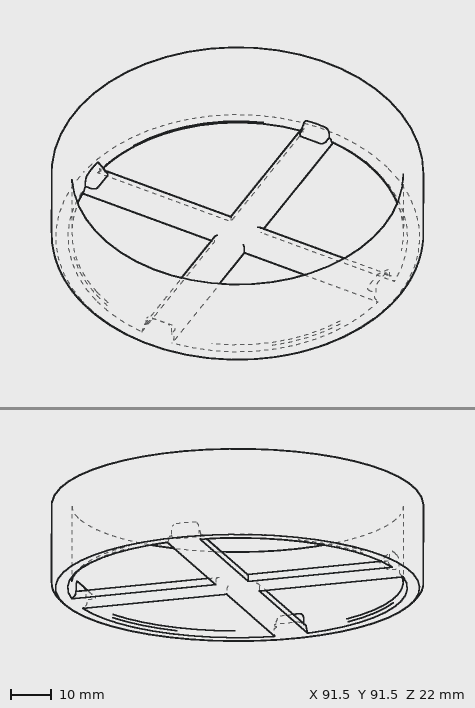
import cadquery as cq

outer_diameter = 91.5
inner_diameter = 81.5
ring_height = 22.0
top_fillet = 1.0
bottom_chamfer = 1.0
chamfer_blend = 1.0

bar_width = 8.5
bar_thickness = 2.0
bar_fillet = 0.7

wedge_count = 4
wedge_width = bar_width - 2 * bar_fillet
wedge_length = 3.0
wedge_height = 3.0
wedge_fillet = 1.0

outer_radius = outer_diameter / 2
inner_radius = inner_diameter / 2
wall_middle_radius = (inner_radius + outer_radius) / 2


def make_ring():
    """Tube with rounded top rims and chamfered bottom rims, blended into the wall."""
    ring = cq.Workplane("XY").circle(outer_radius).circle(inner_radius).extrude(ring_height)
    ring = ring.faces(">Z").edges().fillet(top_fillet)
    ring = ring.faces("<Z").edges().chamfer(bottom_chamfer)
    around_chamfer_tops = cq.selectors.BoxSelector(
        (-outer_diameter, -outer_diameter, bottom_chamfer / 2),
        (outer_diameter, outer_diameter, bottom_chamfer * 2),
    )
    chamfer_top_circles = ring.edges("%CIRCLE").edges(around_chamfer_tops)
    return chamfer_top_circles.fillet(chamfer_blend)


def make_cross():
    """Two crossed bars with rounded upper edges."""
    bar_length = 2 * wall_middle_radius
    along_x = cq.Workplane("XY").rect(bar_length, bar_width).extrude(bar_thickness)
    along_y = cq.Workplane("XY").rect(bar_width, bar_length).extrude(bar_thickness)
    return along_x.union(along_y).faces(">Z").edges().fillet(bar_fillet)


def make_wedge():
    """Wedge on the +X bar end, sunk into the bar and the wall, with a rounded slope."""
    toe_radius = inner_radius - wedge_length
    slope_top = bar_thickness + wedge_height
    sunk_bottom = bar_thickness / 2
    wedge = (
        cq.Workplane("XZ")
        .moveTo(toe_radius, bar_thickness)
        .lineTo(inner_radius, slope_top)
        .lineTo(wall_middle_radius, slope_top)
        .lineTo(wall_middle_radius, sunk_bottom)
        .lineTo(toe_radius, sunk_bottom)
        .close()
        .extrude(wedge_width / 2, both=True)
    )
    slope_edges = wedge.edges("not(|X or |Y or |Z)")
    return slope_edges.fillet(wedge_fillet)


result = make_ring().union(make_cross())
for index in range(wedge_count):
    angle = index * 360 / wedge_count
    result = result.union(make_wedge().rotate((0, 0, 0), (0, 0, 1), angle))